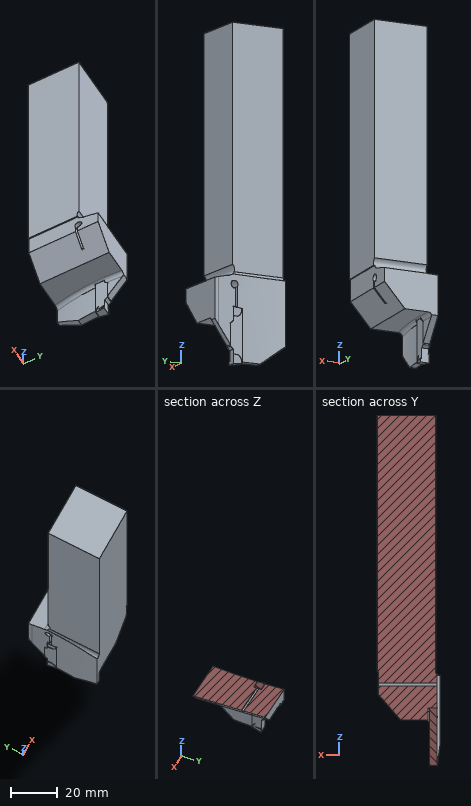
import cadquery as cq
import math

tool_length = 150.0
tool_width = 27.0
shank_left = 2.0
shank_depth = 24.9
shank_bottom = 40.5

head_depth = 34.0
head_right = 26.5
shoulder_radius = 1.8
undercut_depth = 0.9
undercut_top = 43.6
undercut_middle = 41.7
shoulder_back = 26.2
shoulder_high = 38.8
shoulder_low = 36.9
arm_corner = 18.8
front_corner = 9.8
bottom_front = 11.5
blade_bottom = 1.2
block_bottom = 19.8
block_corner_x = 17.0
block_corner_z = 30.8

blade_center = 24.0
inner_radius = 210.0
outer_radius = 108.0
inner_crest = 0.5 * blade_center**2 / inner_radius
blade_right = 4.6
flat_start = 32.2
neck_fillet = 1.8

slit_hole_y = 24.3
slit_hole_z = 35.0
slit_hole_diameter = 3.3
slit_y = 23.4
slit_width = 0.9

insert_front = 20.4
insert_back = shank_depth
insert_height = 25.2
end_relief = 0.6
bump_back = 26.2
bump_start = 6.3
bump_slope = 1.2
edge_left = 1.0
edge_right = 5.2
root_left = 1.5
root_right = 4.4
cutting_head_height = 4.2
cutting_head_flat = 2.1
cutting_corner_height = 1.6
cutting_head_gap = 0.5

margin = 3.0


def inner_x(y):
    """X of the blade's concave left side."""
    circle_offset = math.sqrt(inner_radius**2 - (y - blade_center) ** 2) - inner_radius
    return inner_crest + circle_offset


def outer_x(y):
    """X of the blade's convex right side."""
    circle_offset = math.sqrt(outer_radius**2 - (y - blade_center) ** 2) - outer_radius
    return blade_right + circle_offset


def prism_along_x(outline, x_start, x_end):
    """Extrude a closed YZ outline between two X positions."""
    return outline.extrude(x_end - x_start).translate((x_start, 0, 0))


def make_shank():
    return cq.Workplane("XY").box(
        tool_width - shank_left, shank_depth, tool_length - shank_bottom, centered=False
    ).translate((shank_left, 0, shank_bottom))


def make_head_side():
    """Head as seen along X, including its sloped back shoulder and pointed clamping arm."""
    outline = (
        cq.Workplane("YZ")
        .moveTo(0, front_corner)
        .lineTo(bottom_front, blade_bottom)
        .lineTo(insert_front, blade_bottom)
        .lineTo(insert_back, bump_start)
        .lineTo(head_depth, arm_corner)
        .lineTo(head_depth, shoulder_low)
        .lineTo(shoulder_back, shoulder_high)
        .lineTo(shoulder_back, shank_bottom)
        .lineTo(0, shank_bottom)
        .close()
    )
    return prism_along_x(outline, -margin, head_right)


def make_undercut():
    """Rounded relief where the back of the shank meets the sloped shoulder."""
    outline = (
        cq.Workplane("YZ")
        .moveTo(shoulder_back, shoulder_high)
        .threePointArc((shank_depth - undercut_depth, undercut_middle), (shank_depth, undercut_top))
        .lineTo(shoulder_back, undercut_top)
        .close()
    )
    return prism_along_x(outline, -margin, tool_width + margin)


def make_head_plan():
    """Head as seen along Z, with the concave left face."""
    flat_x = inner_x(flat_start)
    return (
        cq.Workplane("XY")
        .moveTo(inner_x(0), 0)
        .threePointArc((inner_x(flat_start / 2), flat_start / 2), (flat_x, flat_start))
        .lineTo(flat_x, head_depth)
        .lineTo(head_right, head_depth)
        .lineTo(head_right, 0)
        .close()
        .extrude(shank_bottom)
    )


def make_shoulder_cutter():
    """Clears the head left of the shank down to a concave quarter round."""
    center_z = shoulder_high + shoulder_radius
    diagonal = shoulder_radius * math.sqrt(0.5)
    center_x = shank_left - shoulder_radius
    return (
        cq.Workplane("XZ")
        .moveTo(-margin, shoulder_high)
        .lineTo(center_x, shoulder_high)
        .threePointArc((center_x + diagonal, center_z - diagonal), (shank_left, center_z))
        .lineTo(shank_left, undercut_top + margin)
        .lineTo(-margin, undercut_top + margin)
        .close()
        .extrude(-head_depth)
    )


def make_neck_cutter():
    """Space right of the blade and under the block, with a rounded inner corner."""
    y_start = -margin
    y_end = head_depth + margin
    cutter = (
        cq.Workplane("XY")
        .workplane(offset=-margin)
        .moveTo(outer_x(y_start), y_start)
        .threePointArc((outer_x(blade_center), blade_center), (outer_x(y_end), y_end))
        .lineTo(tool_width + margin, y_end)
        .lineTo(tool_width + margin, y_start)
        .close()
        .extrude(block_bottom + margin)
    )
    return cutter.faces(">Z").edges("%CIRCLE").fillet(neck_fillet)


def make_block_chamfer():
    """Lower right corner of the block."""
    return (
        cq.Workplane("XZ")
        .moveTo(block_corner_x, block_bottom)
        .lineTo(head_right, block_bottom)
        .lineTo(head_right, block_corner_z)
        .close()
        .extrude(-head_depth)
    )


def make_slit():
    """Clamping slit from the insert up to its round end, through the full width."""
    hole = (
        cq.Workplane("YZ")
        .center(slit_hole_y, slit_hole_z)
        .circle(slit_hole_diameter / 2)
        .extrude(tool_width)
    )
    slit_bottom = insert_height - end_relief
    slit = cq.Workplane("XY").box(
        tool_width, slit_width, slit_hole_z - slit_bottom, centered=False
    ).translate((0, slit_y - slit_width / 2, slit_bottom))
    return hole.union(slit)


def insert_outline():
    """Double-ended insert outline, with a bump on its back."""
    bump_end = insert_height - bump_start
    return cq.Workplane("YZ").polyline([
        (insert_front, end_relief),
        (insert_back, 0),
        (insert_back, bump_start),
        (bump_back, bump_start + bump_slope),
        (bump_back, bump_end - bump_slope),
        (insert_back, bump_end),
        (insert_back, insert_height),
        (insert_front, insert_height - end_relief),
    ]).close()


def make_holder():
    head = make_head_plan().intersect(make_head_side())
    head = head.cut(make_shoulder_cutter())
    head = head.cut(make_neck_cutter())
    head = head.cut(make_block_chamfer())
    pocket = prism_along_x(insert_outline(), -margin, edge_right)
    return make_shank().union(head).cut(make_undercut()).cut(make_slit()).cut(pocket)


def cutting_head_zone():
    """Lower end of the insert, under a straight and then curved upper border."""
    flat_end = insert_back - cutting_head_flat
    curve_end = insert_front + cutting_head_gap
    diagonal = math.sqrt(0.5)
    arc_middle = (
        flat_end - (flat_end - curve_end) * diagonal,
        end_relief + (cutting_head_height - end_relief) * diagonal,
    )
    outline = (
        cq.Workplane("YZ")
        .moveTo(insert_back, 0)
        .lineTo(insert_back, cutting_head_height)
        .lineTo(flat_end, cutting_head_height)
        .threePointArc(arc_middle, (curve_end, end_relief))
        .lineTo(insert_front, end_relief)
        .close()
    )
    return prism_along_x(outline, 0, edge_right)


def make_insert():
    insert = prism_along_x(insert_outline(), inner_crest, blade_right)
    taper = (
        cq.Workplane("XY")
        .polyline([
            (edge_left, insert_back),
            (edge_right, insert_back),
            (root_right, insert_front),
            (root_left, insert_front),
        ])
        .close()
        .extrude(insert_height)
    )
    side_relief = cq.Workplane("XY").box(
        edge_right,
        insert_back,
        insert_height - 2 * cutting_corner_height,
        centered=False,
    ).translate((blade_right, 0, cutting_corner_height))
    taper = taper.cut(side_relief)
    lower_zone = cutting_head_zone()
    upper_zone = lower_zone.mirror("XY").translate((0, 0, insert_height))
    for zone in (lower_zone, upper_zone):
        insert = insert.cut(zone).union(zone.intersect(taper))
    return insert


holder = make_holder()
insert = make_insert()

result = cq.Compound.makeCompound([holder.val(), insert.val()])